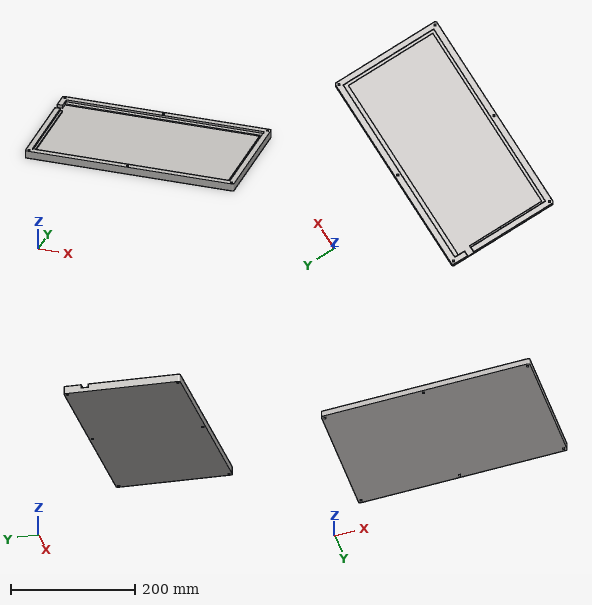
import cadquery as cq

length = 354.5
width = 193.3
height = 13.0
corner_radius = 3.2

side_rim = 9.2
end_rim = 10.3
ledge_depth = 3.5
floor_depth = 5.5
left_ledge = 3.5
right_ledge = 4.5
back_ledge = 7.0
front_ledge = 4.5

slot_width = 11.7
slot_back_offset = 29.0

hole_diameter = 3.4
hole_inset = 5.0
middle_hole_x = -4.5

left = -length / 2
right = length / 2
front = -width / 2
back = width / 2
slot_back = back - slot_back_offset
slot_front = slot_back - slot_width
recess_left = left + side_rim
floor_left = recess_left + left_ledge
floor_back = back - end_rim - back_ledge


def top_cut(x_min, x_max, y_min, y_max, depth):
    """Rectangular block reaching from the top face down to the given depth."""
    return cq.Workplane("XY").box(x_max - x_min, y_max - y_min, depth, centered=False).translate(
        (x_min, y_min, height - depth)
    )


plate = cq.Workplane("XY").box(length, width, height, centered=(True, True, False))
plate = plate.edges("|Z").fillet(corner_radius)

recess = top_cut(recess_left, right - side_rim, front + end_rim, back - end_rim, ledge_depth)
floor = top_cut(
    floor_left, right - side_rim - right_ledge, front + end_rim + front_ledge, floor_back, floor_depth
)

floor_corner = top_cut(recess_left, floor_left, slot_front, floor_back, floor_depth)
slot = top_cut(left, floor_left, slot_front, slot_back, floor_depth)

hole_x_positions = (left + hole_inset, middle_hole_x, right - hole_inset)
hole_y_positions = (front + hole_inset, back - hole_inset)
hole_points = [(x, y) for x in hole_x_positions for y in hole_y_positions]
holes = cq.Workplane("XY").pushPoints(hole_points).circle(hole_diameter / 2).extrude(height)

result = plate.cut(recess).cut(floor).cut(floor_corner).cut(slot).cut(holes)